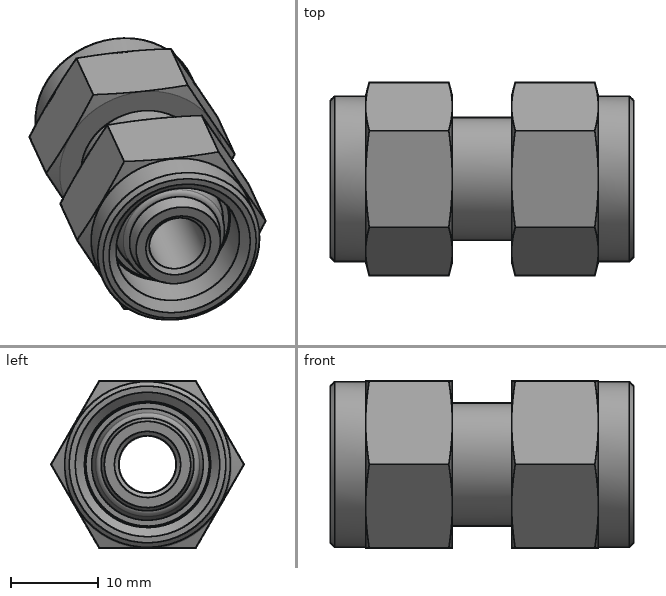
import cadquery as cq
import math


LENGTH = 34.5
MIDDLE = LENGTH / 2

NUT_LENGTH = 13.87
HEX_ACROSS_FLATS = 19.0
HEX_ACROSS_CORNERS = HEX_ACROSS_FLATS / math.cos(math.radians(30))
HEX_CHAMFER_ANGLE = 15.0
COLLAR_LENGTH = 4.05
COLLAR_RADIUS = 9.42
COLLAR_CHAMFER = 0.52
NUT_BORE_RADIUS = 7.18
MOUTH_CHAMFER = 1.05

BARREL_RADIUS = 7.0
BARREL_START = 5.95
BORE_RADIUS = 3.25
BORE_CHAMFER = 0.52

SPIGOT_END = 0.75
SPIGOT_TIP_RADIUS = 4.9
SHOULDER_START = 2.6
SHOULDER_INNER_RADIUS = 5.28
SHOULDER_ROUND = 0.62
SHOULDER_OUTER_RADIUS = SHOULDER_INNER_RADIUS + SHOULDER_ROUND
SPIGOT_ROOT_RADIUS = 6.35


def revolve_about_x(profile):
    return profile.close().revolve(360, (0, 0, 0), (1, 0, 0))


def mirror_to_other_end(shape):
    return shape.mirror("YZ", (MIDDLE, 0, 0))


def make_hexagon():
    """Hexagon with flats facing +Z and -Z, its corners turned off by a cone at both ends."""
    hex_length = NUT_LENGTH - COLLAR_LENGTH
    hexagon = (
        cq.Workplane("YZ", origin=(COLLAR_LENGTH, 0, 0))
        .polygon(6, HEX_ACROSS_CORNERS)
        .extrude(hex_length)
    )
    face_radius = HEX_ACROSS_FLATS / 2
    corner_radius = HEX_ACROSS_CORNERS / 2
    corner_setback = (corner_radius - face_radius) * math.tan(math.radians(HEX_CHAMFER_ANGLE))
    envelope = revolve_about_x(
        cq.Workplane("XY")
        .moveTo(COLLAR_LENGTH, 0)
        .lineTo(COLLAR_LENGTH, face_radius)
        .lineTo(COLLAR_LENGTH + corner_setback, corner_radius)
        .lineTo(NUT_LENGTH - corner_setback, corner_radius)
        .lineTo(NUT_LENGTH, face_radius)
        .lineTo(NUT_LENGTH, 0)
    )
    return hexagon.intersect(envelope)


def make_collar():
    return revolve_about_x(
        cq.Workplane("XY")
        .lineTo(0, COLLAR_RADIUS - COLLAR_CHAMFER)
        .lineTo(COLLAR_CHAMFER, COLLAR_RADIUS)
        .lineTo(COLLAR_LENGTH, COLLAR_RADIUS)
        .lineTo(COLLAR_LENGTH, 0)
    )


def make_nut_bore():
    """Flared mouth and clearance bore down to the barrel, then a hole that fits the barrel."""
    return revolve_about_x(
        cq.Workplane("XY")
        .lineTo(0, NUT_BORE_RADIUS + MOUTH_CHAMFER)
        .lineTo(MOUTH_CHAMFER, NUT_BORE_RADIUS)
        .lineTo(BARREL_START, NUT_BORE_RADIUS)
        .lineTo(BARREL_START, BARREL_RADIUS)
        .lineTo(NUT_LENGTH, BARREL_RADIUS)
        .lineTo(NUT_LENGTH, 0)
    )


def make_nut(is_far_end):
    nut = make_collar().union(make_hexagon()).cut(make_nut_bore())
    return mirror_to_other_end(nut) if is_far_end else nut


def make_spigot():
    """Solid spigot: tapered tip, rounded shoulder, then a tapered root that ends on the barrel."""
    round_middle = SHOULDER_ROUND * math.sin(math.radians(45))
    return revolve_about_x(
        cq.Workplane("XY")
        .moveTo(SPIGOT_END, 0)
        .lineTo(SPIGOT_END, SPIGOT_TIP_RADIUS)
        .lineTo(SHOULDER_START, SHOULDER_INNER_RADIUS)
        .threePointArc(
            (SHOULDER_START + SHOULDER_ROUND - round_middle, SHOULDER_INNER_RADIUS + round_middle),
            (SHOULDER_START + SHOULDER_ROUND, SHOULDER_OUTER_RADIUS),
        )
        .lineTo(BARREL_START, SPIGOT_ROOT_RADIUS)
        .lineTo(BARREL_START, 0)
    )


def make_body():
    """Cylindrical barrel with a spigot at each end and a chamfered bore right through."""
    barrel = (
        cq.Workplane("YZ", origin=(BARREL_START, 0, 0))
        .circle(BARREL_RADIUS)
        .extrude(LENGTH - 2 * BARREL_START)
    )
    bore = cq.Workplane("YZ").circle(BORE_RADIUS).extrude(LENGTH)
    spigot = make_spigot()
    body = barrel.union(spigot).union(mirror_to_other_end(spigot)).cut(bore)
    bore_rims = body.faces("<X or >X").edges(cq.selectors.RadiusNthSelector(0))
    return bore_rims.chamfer(BORE_CHAMFER)


body = make_body()
nuts = [make_nut(is_far_end) for is_far_end in (False, True)]

result = cq.Compound.makeCompound([body.val(), *[nut.val() for nut in nuts]])